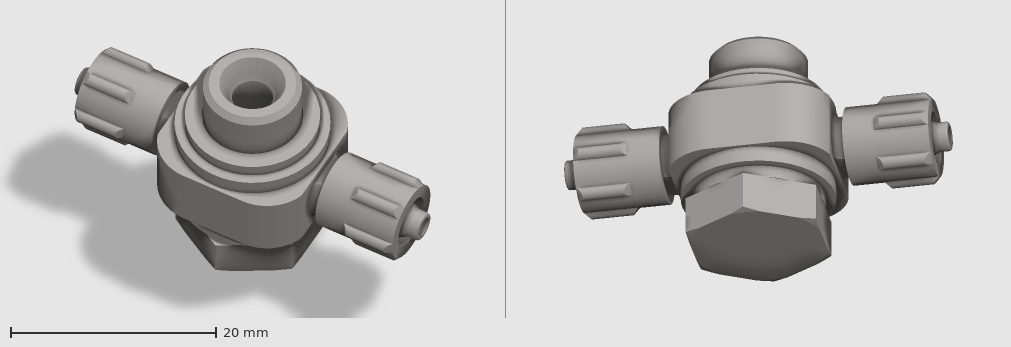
import cadquery as cq
import math


block_width = 16.0
block_height = 6.57
corner_radius = 4.95
front_flat_width = 6.57
boss_diameter = 15.2
boss_height = 1.6
housing_bore_diameter = 9.75

washer_diameter = 13.2
washer_bore_diameter = 9.9
washer_thickness = 1.53
recess_diameter = 13.3
recess_depth = 0.3

total_length = 38.2
flow_bore_diameter = 2.0
tip_diameter = 2.9
tip_rounding = 0.23
barb_diameter = 3.9
barb_cone_start = 17.95
barb_cone_end = 16.85
stem_diameter = 6.0
stem_end = 16.58
stem_flat_width = 4.75
stem_fillet = 0.5

nut_diameter = 7.7
nut_front = 17.7
nut_back = 9.13
grip_length = 5.42
rib_count = 6
rib_radius = 0.65
nut_mouth_diameter = 5.2
nut_mouth_bevel_depth = 0.23
nut_cone_diameter = 4.93
nut_throat_diameter = 4.4

shank_diameter = 9.7
shank_length = 17.08
shank_chamfer = 0.57
hex_across_flats = 13.0
hex_height = 4.0
hex_chamfer_diameter = 13.52
hex_chamfer_height = 0.23
bolt_bore_diameter = 4.0
countersink_diameter = 6.5
countersink_angle = 60.0
drill_point_angle = 118.0
bore_floor = -1.53

boss_face = block_height / 2 + boss_height
recess_floor = boss_face - recess_depth
washer_face = recess_floor + washer_thickness
bolt_top = shank_length - washer_face
bolt_bottom = -washer_face - hex_height


def cylinder_z(diameter, z_start, z_end):
    return cq.Workplane("XY").workplane(offset=z_start).circle(diameter / 2).extrude(z_end - z_start)


def cylinder_x(diameter, x_start, x_end):
    return cq.Workplane("YZ").workplane(offset=x_start).circle(diameter / 2).extrude(x_end - x_start)


def revolve_about_x(profile):
    """Revolve a closed profile of (distance along X, radius) points about the X axis."""
    return profile.close().revolve(360, (0, 0, 0), (1, 0, 0))


def both_ends(shape):
    """The +X shape and its copy turned half round onto the -X side."""
    return [shape.rotate((0, 0, 0), (0, 0, 1), angle) for angle in (0, 180)]


def housing_block():
    """Square block; each corner arc runs tangent into the Y face and meets the X face at an edge."""
    half_width = block_width / 2
    half_flat = front_flat_width / 2
    arc_center_y = half_width - corner_radius
    edge_y = arc_center_y + math.sqrt(corner_radius**2 - (half_width - half_flat) ** 2)
    mid_angle = (math.pi / 2 + math.atan2(edge_y - arc_center_y, half_width - half_flat)) / 2
    mid_x = half_flat + corner_radius * math.cos(mid_angle)
    mid_y = arc_center_y + corner_radius * math.sin(mid_angle)
    return (
        cq.Workplane("XY")
        .workplane(offset=-block_height / 2)
        .moveTo(-half_flat, half_width)
        .lineTo(half_flat, half_width)
        .threePointArc((mid_x, mid_y), (half_width, edge_y))
        .lineTo(half_width, -edge_y)
        .threePointArc((mid_x, -mid_y), (half_flat, -half_width))
        .lineTo(-half_flat, -half_width)
        .threePointArc((-mid_x, -mid_y), (-half_width, -edge_y))
        .lineTo(-half_width, edge_y)
        .threePointArc((-mid_x, mid_y), (-half_flat, half_width))
        .close()
        .extrude(block_height)
    )


def nozzle():
    """Solid +X nozzle: stem with a flat above and below, and a barb cone with a rounded tip."""
    root_x = (housing_bore_diameter + block_width) / 4
    face_x = block_width / 2
    end_x = total_length / 2
    stem_radius = stem_diameter / 2
    tip_radius = tip_diameter / 2
    fillet_inset = stem_fillet * (1 - math.sqrt(0.5))
    rounding_inset = tip_rounding * (1 - math.sqrt(0.5))
    stem = revolve_about_x(
        cq.Workplane("XY")
        .moveTo(root_x, 0)
        .lineTo(root_x, stem_radius + stem_fillet)
        .lineTo(face_x, stem_radius + stem_fillet)
        .threePointArc(
            (face_x + fillet_inset, stem_radius + fillet_inset), (face_x + stem_fillet, stem_radius)
        )
        .lineTo(stem_end, stem_radius)
        .lineTo(stem_end, 0)
    )
    stem = stem.intersect(cq.Workplane("XY").box(total_length, block_width, stem_flat_width))
    barb = revolve_about_x(
        cq.Workplane("XY")
        .moveTo(root_x, 0)
        .lineTo(root_x, barb_diameter / 2)
        .lineTo(barb_cone_end, barb_diameter / 2)
        .lineTo(barb_cone_start, tip_radius)
        .lineTo(end_x - tip_rounding, tip_radius)
        .threePointArc(
            (end_x - rounding_inset, tip_radius - rounding_inset), (end_x, tip_radius - tip_rounding)
        )
        .lineTo(end_x, 0)
    )
    return stem.union(barb)


def make_housing():
    body = housing_block().union(cylinder_z(boss_diameter, -boss_face, boss_face))
    for end_nozzle in both_ends(nozzle()):
        body = body.union(end_nozzle)
    body = body.cut(cylinder_z(housing_bore_diameter, -boss_face, boss_face))
    body = body.cut(cylinder_z(recess_diameter, recess_floor, boss_face))
    body = body.cut(cylinder_z(recess_diameter, -boss_face, -recess_floor))
    return body.cut(cylinder_x(flow_bore_diameter, -total_length / 2, total_length / 2))


def make_washer(z_bottom):
    z_top = z_bottom + washer_thickness
    return cylinder_z(washer_diameter, z_bottom, z_top).cut(
        cylinder_z(washer_bore_diameter, z_bottom, z_top)
    )


def grip_ribs():
    """Half-round ribs along the front of the nut, bevelled at 45 degrees at both ends."""
    nut_radius = nut_diameter / 2
    rib_top = nut_radius + rib_radius
    grip_back = nut_front - grip_length
    ribs = (
        cq.Workplane("YZ")
        .workplane(offset=grip_back)
        .polarArray(nut_radius, 0, 360, rib_count)
        .circle(rib_radius)
        .extrude(grip_length)
    )
    bevel_envelope = revolve_about_x(
        cq.Workplane("XY")
        .moveTo(grip_back, 0)
        .lineTo(grip_back, nut_radius)
        .lineTo(grip_back + rib_radius, rib_top)
        .lineTo(nut_front - rib_radius, rib_top)
        .lineTo(nut_front, nut_radius)
        .lineTo(nut_front, 0)
    )
    return ribs.intersect(bevel_envelope)


def make_nut():
    """The +X nut: bevelled mouth, cone, short straight throat, and a wider bore over the nozzle stem."""
    grip_back = nut_front - grip_length
    collar = cylinder_x(nut_diameter, nut_back, grip_back)
    grip = cylinder_x(nut_diameter, grip_back, nut_front).union(grip_ribs())
    nut = grip.union(collar, clean=False)
    opening = revolve_about_x(
        cq.Workplane("XY")
        .moveTo(nut_back, 0)
        .lineTo(nut_back, stem_diameter / 2)
        .lineTo(stem_end, stem_diameter / 2)
        .lineTo(stem_end, nut_throat_diameter / 2)
        .lineTo(barb_cone_end, nut_throat_diameter / 2)
        .lineTo(nut_front - nut_mouth_bevel_depth, nut_cone_diameter / 2)
        .lineTo(nut_front, nut_mouth_diameter / 2)
        .lineTo(nut_front, 0)
    )
    return nut.cut(opening, clean=False)


def hex_head():
    """Hexagon with corners on the Y axis, its bottom corners turned to a shallow cone."""
    corner_diameter = hex_across_flats / math.cos(math.radians(30))
    head = (
        cq.Workplane("XY")
        .workplane(offset=bolt_bottom)
        .polygon(6, corner_diameter)
        .extrude(hex_height)
        .rotate((0, 0, 0), (0, 0, 1), 90)
    )
    chamfer_envelope = (
        cq.Workplane("XZ")
        .moveTo(0, bolt_bottom)
        .lineTo(hex_chamfer_diameter / 2, bolt_bottom)
        .lineTo(corner_diameter / 2, bolt_bottom + hex_chamfer_height)
        .lineTo(corner_diameter / 2, -washer_face)
        .lineTo(0, -washer_face)
        .close()
        .revolve(360, (0, 0, 0), (0, 1, 0))
    )
    return head.intersect(chamfer_envelope)


def bolt_bore():
    """Countersunk blind bore with a drill point, reaching just past the cross bore."""
    bore_radius = bolt_bore_diameter / 2
    sink_radius = countersink_diameter / 2
    sink_depth = (sink_radius - bore_radius) / math.tan(math.radians(countersink_angle / 2))
    point_depth = bore_radius / math.tan(math.radians(drill_point_angle / 2))
    return (
        cq.Workplane("XZ")
        .moveTo(0, bolt_top)
        .lineTo(sink_radius, bolt_top)
        .lineTo(bore_radius, bolt_top - sink_depth)
        .lineTo(bore_radius, bore_floor)
        .lineTo(0, bore_floor - point_depth)
        .close()
        .revolve(360, (0, 0, 0), (0, 1, 0))
    )


def make_bolt():
    shank = cylinder_z(shank_diameter, -washer_face, bolt_top).faces(">Z").chamfer(shank_chamfer)
    cross_bore = cylinder_x(flow_bore_diameter, -shank_diameter / 2, shank_diameter / 2)
    return shank.union(hex_head()).cut(bolt_bore()).cut(cross_bore)


housing = make_housing()
bolt = make_bolt()
washers = [make_washer(z_bottom) for z_bottom in (recess_floor, -washer_face)]
nuts = both_ends(make_nut())

result = cq.Compound.makeCompound(
    [housing.val(), bolt.val(), *[washer.val() for washer in washers], *[nut.val() for nut in nuts]]
)